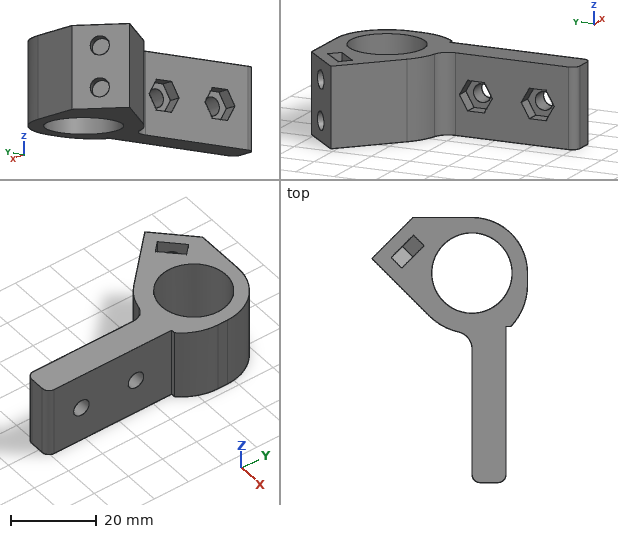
import cadquery as cq
import math

total_width = 36.4
total_length = 62.0
height = 20.0
bore_diameter = 18.7
ring_radius = 13.0
lower_radius = 14.15
right_flat = 2.7

arm_width = 8.0
arm_end_y = ring_radius - total_length
arm_corner_radius = 2.0
arm_fillet_radius = 4.0
ledge_y = -12.5

diagonal = math.sqrt(0.5)
tip_x = ring_radius - total_width
lower_tangent = lower_radius * diagonal
tip_y = -2 * lower_tangent - tip_x
lug_top_x = tip_x + ring_radius - tip_y

screw_diameter = 4.5
nut_flats = 7.4
nut_corners = nut_flats / math.cos(math.pi / 6)
arm_screw_ys = (-39.0, -23.0)
lug_screw_offset = 0.25
lug_screw_zs = (height / 4, height * 3 / 4)
nut_thickness = 3.5
nut_slot_cover = 3.05


def make_body():
    fillet_y = -math.sqrt((lower_radius + arm_fillet_radius) ** 2 - arm_fillet_radius ** 2)
    touch = lower_radius / (lower_radius + arm_fillet_radius)
    fillet_start = (-arm_fillet_radius * touch, fillet_y * touch)
    start_angle = math.atan2(fillet_start[1], fillet_start[0])
    left_mid_angle = (-3 * math.pi / 4 + start_angle) / 2
    fillet_mid_angle = math.atan2(-fillet_y, arm_fillet_radius) / 2
    fillet_mid = (
        -arm_fillet_radius + arm_fillet_radius * math.cos(fillet_mid_angle),
        fillet_y + arm_fillet_radius * math.sin(fillet_mid_angle),
    )

    right_center_x = ring_radius - lower_radius
    ledge_angle = math.asin((ledge_y + right_flat) / lower_radius)
    ledge_x = right_center_x + lower_radius * math.cos(ledge_angle)
    right_mid = (
        right_center_x + lower_radius * math.cos(ledge_angle / 2),
        -right_flat + lower_radius * math.sin(ledge_angle / 2),
    )

    body = (
        cq.Workplane("XY")
        .moveTo(tip_x, tip_y)
        .lineTo(-lower_tangent, -lower_tangent)
        .threePointArc(
            (lower_radius * math.cos(left_mid_angle), lower_radius * math.sin(left_mid_angle)),
            fillet_start,
        )
        .threePointArc(fillet_mid, (0, fillet_y))
        .lineTo(0, arm_end_y)
        .lineTo(arm_width, arm_end_y)
        .lineTo(arm_width, ledge_y)
        .lineTo(ledge_x, ledge_y)
        .threePointArc(right_mid, (ring_radius, -right_flat))
        .lineTo(ring_radius, 0)
        .threePointArc((ring_radius * diagonal, ring_radius * diagonal), (0, ring_radius))
        .lineTo(lug_top_x, ring_radius)
        .close()
        .extrude(height)
    )
    return body.faces("<Y").edges("|Z").fillet(arm_corner_radius)


def make_bore():
    return cq.Workplane("XY").circle(bore_diameter / 2).extrude(height)


def make_arm_fastener(y):
    plane = cq.Plane(origin=(0, y, height / 2), xDir=(0, 1, 0), normal=(1, 0, 0))
    hole = cq.Workplane(plane).circle(screw_diameter / 2).extrude(arm_width)
    pocket = cq.Workplane(plane).polygon(6, nut_corners).extrude(nut_thickness)
    return hole.union(pocket)


def lug_plane(depth, z):
    middle_x = (tip_x + lug_top_x) / 2
    middle_y = (tip_y + ring_radius) / 2
    along = lug_screw_offset * diagonal
    inward = depth * diagonal
    return cq.Plane(
        origin=(middle_x + along + inward, middle_y + along - inward, z),
        xDir=(1, 1, 0),
        normal=(1, -1, 0),
    )


def make_lug_screw(z):
    depth = nut_slot_cover + nut_thickness / 2
    return cq.Workplane(lug_plane(0, z)).circle(screw_diameter / 2).extrude(depth)


def make_nut_slot():
    lower_z = min(lug_screw_zs)
    half = nut_flats / 2
    return (
        cq.Workplane(lug_plane(nut_slot_cover, 0))
        .moveTo(-half, height)
        .lineTo(-half, lower_z - nut_corners / 4)
        .lineTo(0, lower_z - nut_corners / 2)
        .lineTo(half, lower_z - nut_corners / 4)
        .lineTo(half, height)
        .close()
        .extrude(nut_thickness)
    )


result = make_body().cut(make_bore()).cut(make_nut_slot())
for screw_y in arm_screw_ys:
    result = result.cut(make_arm_fastener(screw_y))
for screw_z in lug_screw_zs:
    result = result.cut(make_lug_screw(screw_z))